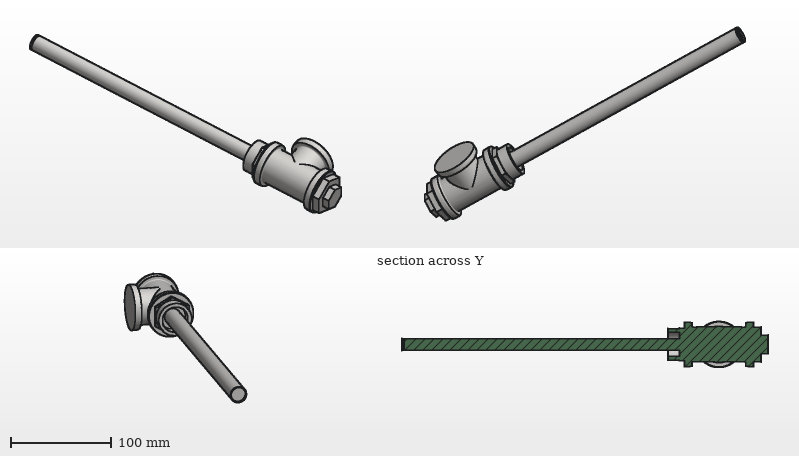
import cadquery as cq
import math


overall_length = 365.0
tube_length = 265.0
collar_length = 11.5
union_hex_length = 5.0
shoulder_length = 1.0
tee_length = 67.0
plug_hex_length = 7.5

tube_diameter = 16.5
tube_recess_diameter = 15.0
collar_diameter = 33.7
collar_bore_diameter = 26.0
run_diameter = 37.0
flange_diameter = 46.0
shoulder_diameter = 45.5
branch_diameter = 36.5

union_hex_flats = 34.0
plug_hex_flats = 36.0
plug_drive_flats = 22.0

flange_width = 6.8
flange_edge_bevel = 2.2
flange_edge_drop = 0.5
flange_root_fillet = 1.0

tube_recess_depth = 2.0
branch_reach = 34.0

collar_start = tube_length
union_hex_start = collar_start + collar_length
union_hex_end = union_hex_start + union_hex_length
tee_start = union_hex_end + shoulder_length
tee_end = tee_start + tee_length
tee_center = (tee_start + tee_end) / 2
plug_hex_start = tee_end + shoulder_length
plug_hex_end = plug_hex_start + plug_hex_length
collar_bore_depth = collar_length


def cylinder_x(diameter, start, end):
    return cq.Workplane("YZ", origin=(start, 0, 0)).circle(diameter / 2).extrude(end - start)


def hexagon_x(across_flats, start, end):
    """Hexagonal prism along X with two corners on the Z axis."""
    across_corners = across_flats / math.cos(math.pi / 6)
    return (
        cq.Workplane("YZ", origin=(start, 0, 0))
        .transformed(rotate=(0, 0, 90))
        .polygon(6, across_corners)
        .extrude(end - start)
    )


def flanged_end(pipe_diameter, reach):
    """Flange at the end of a pipe along +X, with its outer face at x = reach."""
    root_radius = pipe_diameter / 2
    flange_radius = flange_diameter / 2
    flange_back = reach - flange_width
    fillet = flange_root_fillet
    profile = (
        cq.Workplane("XY", origin=(flange_back - fillet, 0, 0))
        .lineTo(0, root_radius)
        .radiusArc((fillet, root_radius + fillet), -fillet)
        .lineTo(fillet, flange_radius - flange_edge_drop)
        .lineTo(fillet + flange_edge_bevel, flange_radius)
        .lineTo(fillet + flange_width, flange_radius)
        .lineTo(fillet + flange_width, 0)
        .close()
    )
    return profile.revolve(360, (0, 0, 0), (1, 0, 0))


def make_tee():
    half_length = tee_length / 2
    run_end = flanged_end(run_diameter, half_length)
    branch_pipe = cylinder_x(branch_diameter, 0, branch_reach)
    branch_end = flanged_end(branch_diameter, branch_reach)
    branch = branch_pipe.union(branch_end).rotate((0, 0, 0), (0, 0, 1), 90)
    tee = cylinder_x(run_diameter, -half_length, half_length)
    tee = tee.union(run_end).union(run_end.mirror("YZ")).union(branch)
    return tee.translate((tee_center, 0, 0))


def make_union():
    collar = cylinder_x(collar_diameter, collar_start, union_hex_start)
    bore = cylinder_x(collar_bore_diameter, collar_start, collar_start + collar_bore_depth)
    hexagon = hexagon_x(union_hex_flats, union_hex_start, union_hex_end)
    shoulder = cylinder_x(shoulder_diameter, union_hex_end, tee_start)
    return collar.cut(bore).union(hexagon).union(shoulder)


def make_plug():
    shoulder = cylinder_x(shoulder_diameter, tee_end, plug_hex_start)
    large_hexagon = hexagon_x(plug_hex_flats, plug_hex_start, plug_hex_end)
    drive_hexagon = hexagon_x(plug_drive_flats, plug_hex_end, overall_length)
    return shoulder.union(large_hexagon).union(drive_hexagon)


def make_tube():
    tube = cylinder_x(tube_diameter, 0, union_hex_start)
    return tube.cut(cylinder_x(tube_recess_diameter, 0, tube_recess_depth))


result = make_tee().union(make_union()).union(make_plug()).union(make_tube())